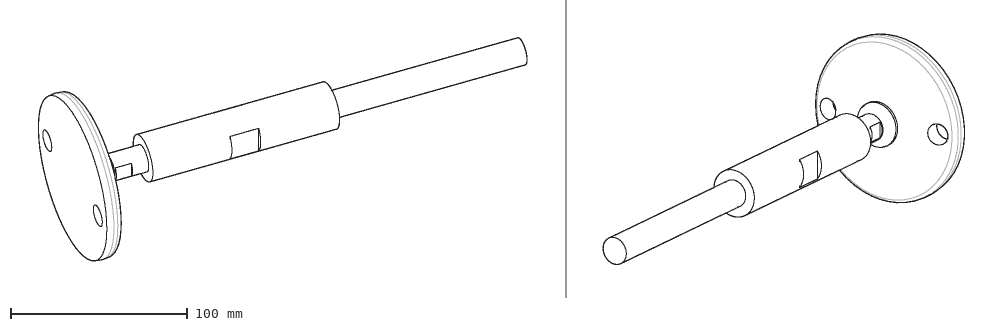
import cadquery as cq
import math

TOTAL_LENGTH = 277.0
PLATE_RADIUS = 98.0 / 2
ROD_RADIUS = 16.0 / 2

BASE_EDGE_RADIUS = PLATE_RADIUS - 0.5
RIM_BAND_START = 4.2
RIM_BAND_END = 6.6
RIM_BAND_TOP_RADIUS = PLATE_RADIUS - 0.3
SHOULDER_RADIUS = 46.5
SHOULDER_HEIGHT = 9.7
PLATE_TOP = 15.8

COLLAR_RADIUS = 13.3
COLLAR_CONE_START = 17.5
COLLAR_TOP = 22.7

HOLE_DIAMETER = 12.5
HOLE_OFFSET = 35.7
HOLE_CUT_LENGTH = 55.5
CONE_ANGLE = math.atan2(PLATE_TOP - SHOULDER_HEIGHT, SHOULDER_RADIUS - COLLAR_RADIUS)

ROD_FLAT_START = 23.5
ROD_FLAT_END = 33.5
ROD_ACROSS_FLATS = 13.0

SLEEVE_RADIUS = 28.0 / 2
SLEEVE_START = 43.5
SLEEVE_LENGTH = 115.2
SLEEVE_FLAT_LENGTH = 17.7
SLEEVE_ACROSS_FLATS = 22.5
SLEEVE_FLAT_START = SLEEVE_START + (SLEEVE_LENGTH - SLEEVE_FLAT_LENGTH) / 2


def cylinder_along_y(radius, start, length):
    return cq.Workplane(cq.Solid.makeCylinder(radius, length, cq.Vector(0, start, 0), cq.Vector(0, 1, 0)))


def cut_wrench_flats(body, radius, across_flats, start, length):
    """Remove the material beyond two flats that face -X and +X."""
    for side in (-1, 1):
        cutter = cq.Workplane().box(radius, length, 2 * radius).translate(
            (side * (across_flats + radius) / 2, start + length / 2, 0)
        )
        body = body.cut(cutter)
    return body


def make_foot():
    """Foot plate, collar and rod turned as one piece."""
    foot = (
        cq.Workplane("XY")
        .moveTo(0, TOTAL_LENGTH)
        .lineTo(ROD_RADIUS, TOTAL_LENGTH)
        .lineTo(ROD_RADIUS, COLLAR_TOP)
        .lineTo(COLLAR_RADIUS, COLLAR_CONE_START)
        .lineTo(COLLAR_RADIUS, PLATE_TOP)
        .lineTo(SHOULDER_RADIUS, SHOULDER_HEIGHT)
        .tangentArcPoint((RIM_BAND_TOP_RADIUS, RIM_BAND_END), relative=False)
        .lineTo(PLATE_RADIUS, RIM_BAND_START)
        .lineTo(BASE_EDGE_RADIUS, 0)
        .lineTo(0, 0)
        .close()
        .revolve(360, (0, 0, 0), (0, 1, 0))
    )
    for side in (-1, 1):
        direction = cq.Vector(side * math.sin(CONE_ANGLE), math.cos(CONE_ANGLE), 0)
        start = cq.Vector(side * HOLE_OFFSET, 0, 0) - direction * (HOLE_CUT_LENGTH / 2)
        foot = foot.cut(
            cq.Workplane(cq.Solid.makeCylinder(HOLE_DIAMETER / 2, HOLE_CUT_LENGTH, start, direction))
        )
    return cut_wrench_flats(
        foot, ROD_RADIUS, ROD_ACROSS_FLATS, ROD_FLAT_START, ROD_FLAT_END - ROD_FLAT_START
    )


def make_sleeve():
    """Tube that fits around the rod, with wrench flats at mid-length."""
    sleeve = cylinder_along_y(SLEEVE_RADIUS, SLEEVE_START, SLEEVE_LENGTH)
    sleeve = sleeve.cut(cylinder_along_y(ROD_RADIUS, SLEEVE_START, SLEEVE_LENGTH))
    return cut_wrench_flats(
        sleeve, SLEEVE_RADIUS, SLEEVE_ACROSS_FLATS, SLEEVE_FLAT_START, SLEEVE_FLAT_LENGTH
    )


foot = make_foot()
sleeve = make_sleeve()

result = cq.Compound.makeCompound([foot.val(), sleeve.val()])